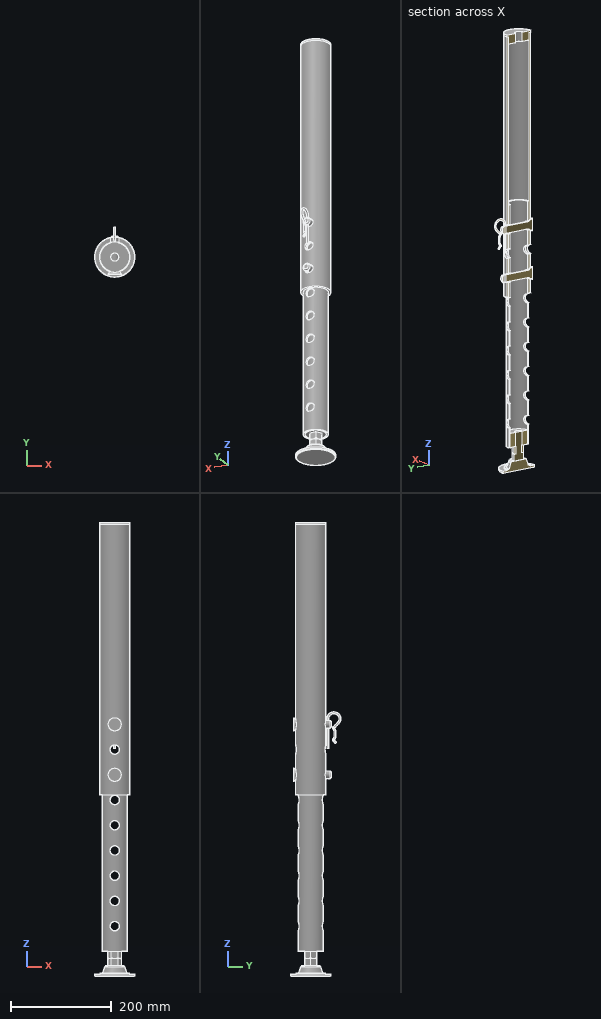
import cadquery as cq
import math

total_height = 900.0

outer_tube_diameter = 60.3
inner_tube_diameter = 50.0
inner_tube_bore = 42.0
outer_tube_bottom = 360.0
inner_tube_bottom = 50.0

hole_diameter = 18.0
hole_pitch = 50.0
lowest_hole_height = 100.0
inner_hole_count = 9
outer_hole_count = 3
inner_hole_heights = [lowest_hole_height + i * hole_pitch for i in range(inner_hole_count)]
outer_hole_heights = inner_hole_heights[-outer_hole_count:]
inner_tube_top = inner_hole_heights[-1] + hole_pitch

cap_rim_thickness = 4.0
cap_depth = 20.0
cap_hole_diameter = 16.0
cap_rim_bottom = total_height - cap_rim_thickness
cap_bottom = total_height - cap_depth

pad_diameter = 80.0
pad_rim_height = 5.0
pad_edge_chamfer = 1.5
pad_step_diameter = 58.0
pad_step_height = 7.0
dome_base_diameter = 49.0
dome_shoulder_diameter = 40.0
dome_shoulder_height = 19.5
dome_top_diameter = 36.0
dome_top = 21.5

hex_across_flats = 24.0
hex_across_corners = hex_across_flats / math.cos(math.pi / 6)
thread_diameter = 16.0
nut_height = 14.5
nut_bottom = inner_tube_bottom - nut_height
nut_chamfer = 2.0
plug_height = 30.0
plug_top = inner_tube_bottom + plug_height

pin_heights = [outer_hole_heights[0], outer_hole_heights[-1]]
pin_diameter = 16.0
pin_head_diameter = 26.0
pin_head_reach = 34.5
pin_head_rim = 1.0
pin_head_half_angle = math.radians(30)
pin_end_reach = 41.5
pin_end_chamfer = 3.0

clip_wire_diameter = 4.0
clip_reach = 60.0
clip_loop_radius = 12.0
clip_loop_above_pin = 11.0
clip_leg_below_pin = 48.0
clip_diagonal_drop = 9.5
clip_wave_offset = 2.7
clip_wave_run = 5.0
clip_wave_length = 14.0
clip_tip_offset = 2.0
clip_tip_run = 6.0
clip_loop_y = clip_reach - clip_wire_diameter / 2 - clip_loop_radius
clip_loop_z = pin_heights[-1] + clip_loop_above_pin
clip_leg_y = clip_loop_y - clip_loop_radius
clip_leg_end = pin_heights[-1] - clip_leg_below_pin


def disc(diameter, bottom, top):
    """Vertical cylinder on the leg axis."""
    return cq.Workplane("XY", origin=(0, 0, bottom)).circle(diameter / 2).extrude(top - bottom)


def hexagon(bottom, top):
    """Hexagonal prism on the leg axis, with corners along X."""
    return cq.Workplane("XY", origin=(0, 0, bottom)).polygon(6, hex_across_corners).extrude(top - bottom)


def cross_hole(height):
    """Cutter for a hole along Y through both walls of a tube."""
    length = 2 * outer_tube_diameter
    return cq.Workplane("XZ", origin=(0, length / 2, height)).circle(hole_diameter / 2).extrude(length)


def make_pin_blank(height):
    """Turned pin along Y: countersunk head on the -Y side, chamfered end on the +Y side."""
    head_radius = pin_head_diameter / 2
    shank_radius = pin_diameter / 2
    cone_start = -pin_head_reach + pin_head_rim
    cone_length = (head_radius - shank_radius) / math.tan(pin_head_half_angle)
    profile = [
        (0, -pin_head_reach),
        (head_radius, -pin_head_reach),
        (head_radius, cone_start),
        (shank_radius, cone_start + cone_length),
        (shank_radius, pin_end_reach - pin_end_chamfer),
        (shank_radius - pin_end_chamfer, pin_end_reach),
        (0, pin_end_reach),
    ]
    blank = cq.Workplane("XY").polyline(profile).close().revolve(360, (0, 0), (0, 1))
    return blank.translate((0, 0, height))


def make_pin(height):
    """Locking pin with the vertical clip hole near its +Y end."""
    clip_hole = (
        cq.Workplane("XY", origin=(0, clip_leg_y, height - pin_diameter))
        .circle(clip_wire_diameter / 2)
        .extrude(2 * pin_diameter)
    )
    return make_pin_blank(height).cut(clip_hole)


def make_outer_tube():
    """Upper tube with three cross holes, the two pinned ones countersunk for the pin heads."""
    tube = disc(outer_tube_diameter, outer_tube_bottom, cap_rim_bottom)
    tube = tube.cut(disc(inner_tube_diameter, outer_tube_bottom, cap_rim_bottom))
    for height in outer_hole_heights:
        tube = tube.cut(cross_hole(height))
    for height in pin_heights:
        tube = tube.cut(make_pin_blank(height))
    return tube


def make_cap():
    """Top cap: a rim on the end of the outer tube, a spigot in its bore and a through hole."""
    rim = disc(outer_tube_diameter, cap_rim_bottom, total_height)
    spigot = disc(inner_tube_diameter, cap_bottom, cap_rim_bottom)
    return rim.union(spigot).cut(disc(cap_hole_diameter, cap_bottom, total_height))


def make_inner_tube():
    """Sliding tube with its row of adjustment holes."""
    tube = disc(inner_tube_diameter, inner_tube_bottom, inner_tube_top)
    tube = tube.cut(disc(inner_tube_bore, inner_tube_bottom, inner_tube_top))
    for height in inner_hole_heights:
        tube = tube.cut(cross_hole(height))
    return tube


def make_plug():
    """Threaded plug in the lower end of the inner tube."""
    body = disc(inner_tube_bore, inner_tube_bottom, plug_top)
    return body.cut(disc(thread_diameter, inner_tube_bottom, plug_top))


def make_stud():
    """Levelling stud: a hexagon standing on the pad, and a rod up through nut and plug."""
    return hexagon(dome_top, nut_bottom).union(disc(thread_diameter, nut_bottom, plug_top))


def make_nut():
    """Lock nut against the plug, with its lower corners chamfered."""
    envelope = disc(hex_across_corners, nut_bottom, inner_tube_bottom).faces("<Z").chamfer(nut_chamfer)
    nut = hexagon(nut_bottom, inner_tube_bottom).intersect(envelope)
    return nut.cut(disc(thread_diameter, nut_bottom, inner_tube_bottom))


def make_pad():
    """Round foot pad with a low step and a central conical dome."""
    pad_radius = pad_diameter / 2
    step_radius = pad_step_diameter / 2
    profile = (
        cq.Workplane("XZ")
        .moveTo(0, 0)
        .lineTo(pad_radius - pad_edge_chamfer, 0)
        .lineTo(pad_radius, pad_edge_chamfer)
        .lineTo(pad_radius, pad_rim_height)
        .lineTo(step_radius, pad_rim_height)
        .lineTo(step_radius, pad_step_height)
        .lineTo(dome_base_diameter / 2, pad_step_height)
        .lineTo(dome_shoulder_diameter / 2, dome_shoulder_height)
        .lineTo(dome_top_diameter / 2, dome_top)
        .lineTo(0, dome_top)
        .close()
    )
    return profile.revolve(360, (0, 0), (0, 1))


def make_clip():
    """R-shaped spring clip: straight leg, round loop, and a waved leg with a flared tip."""
    loop_mid_angle = math.radians(67.5)
    loop_mid = (
        clip_loop_y + clip_loop_radius * math.cos(loop_mid_angle),
        clip_loop_z + clip_loop_radius * math.sin(loop_mid_angle),
    )
    loop_end_offset = clip_loop_radius * math.sqrt(0.5)
    loop_end = (clip_loop_y + loop_end_offset, clip_loop_z - loop_end_offset)
    waist = (loop_end[0] - clip_diagonal_drop, loop_end[1] - clip_diagonal_drop)
    wave_y = waist[0] + clip_wave_offset
    wave_top = waist[1] - clip_wave_run
    wave_bottom = wave_top - clip_wave_length
    kink_z = wave_bottom - clip_wave_run
    path = (
        cq.Workplane("YZ")
        .moveTo(clip_leg_y, clip_leg_end)
        .lineTo(clip_leg_y, clip_loop_z)
        .threePointArc(loop_mid, loop_end)
        .lineTo(*waist)
        .lineTo(wave_y, wave_top)
        .lineTo(wave_y, wave_bottom)
        .lineTo(waist[0], kink_z)
        .lineTo(wave_y + clip_tip_offset, kink_z - clip_tip_run)
    )
    section = cq.Workplane("XY", origin=(0, clip_leg_y, clip_leg_end)).circle(clip_wire_diameter / 2)
    return section.sweep(path, transition="round")


outer_tube = make_outer_tube()
cap = make_cap()
inner_tube = make_inner_tube()
plug = make_plug()
pad = make_pad()
stud = make_stud()
nut = make_nut()
pins = [make_pin(height) for height in pin_heights]
clip = make_clip()

bodies = [outer_tube, cap, inner_tube, plug, pad, stud, nut, *pins, clip]
result = cq.Compound.makeCompound([body.solids().val() for body in bodies])